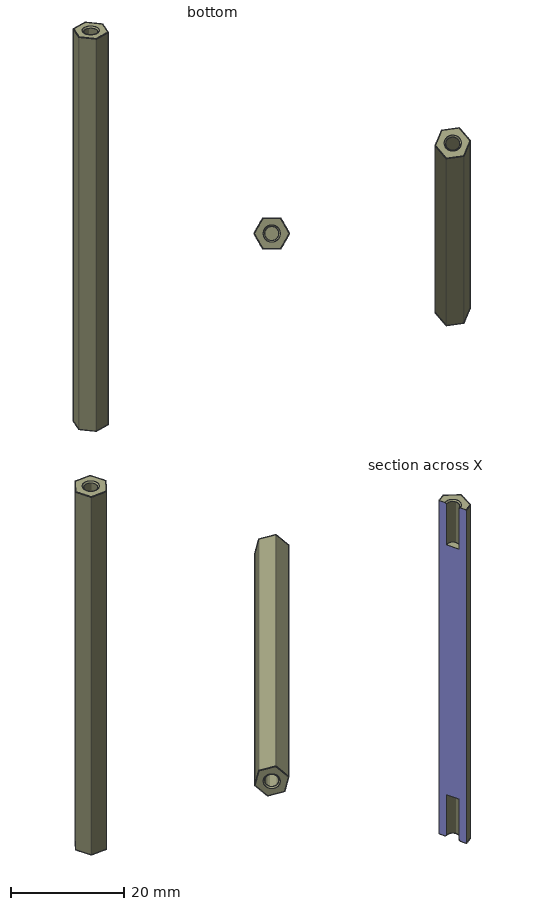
import cadquery as cq
import math

length = 80.0
across_flats = 5.5
across_corners = across_flats / math.cos(math.pi / 6)
corner_radius = 0.1
end_chamfer = 0.1

hole_diameter = 2.5
mouth_diameter = 3.0
hole_depth = 10.0
mouth_depth = (mouth_diameter - hole_diameter) / 2


def hexagonal_bar():
    """Solid bar with rounded long edges and chamfered ends."""
    bar = cq.Workplane("XY").polygon(6, across_corners).extrude(length)
    bar = bar.edges("|Z").fillet(corner_radius)
    return bar.faces("<Z or >Z").chamfer(end_chamfer)


def end_hole():
    """Hole cutter entering from the bottom end."""
    hole_radius = hole_diameter / 2
    return (
        cq.Workplane("XZ")
        .moveTo(0, 0)
        .lineTo(mouth_diameter / 2, 0)
        .lineTo(hole_radius, mouth_depth)
        .lineTo(hole_radius, hole_depth)
        .lineTo(0, hole_depth)
        .close()
        .revolve(360, (0, 0, 0), (0, 1, 0))
    )


bottom_hole = end_hole()
top_hole = bottom_hole.mirror("XY", (0, 0, length / 2))

result = hexagonal_bar().cut(bottom_hole).cut(top_hole)